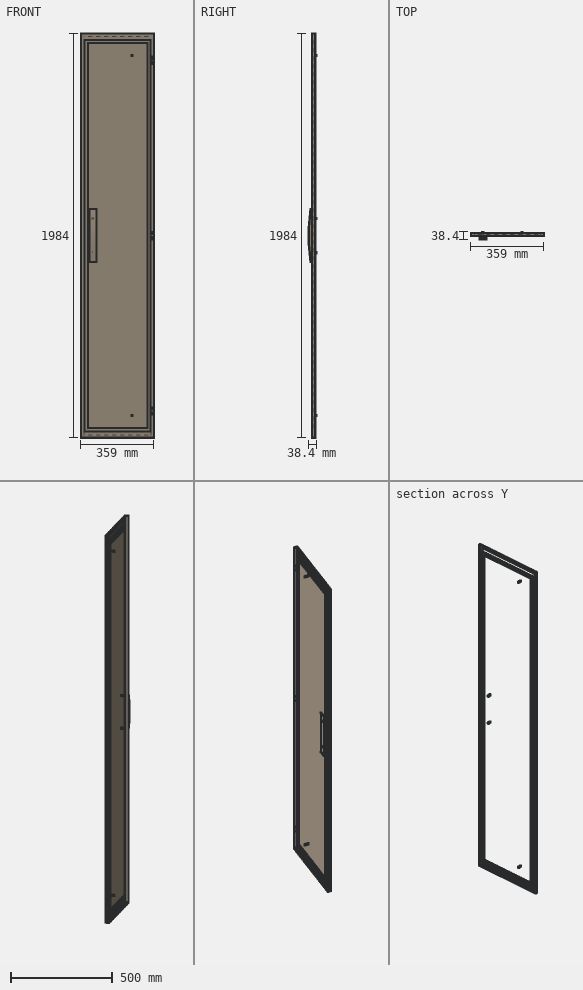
import cadquery as cq

door_width = 359.0
door_height = 1984.0
door_depth = 16.25
sheet = 1.25
lip_width = 15.0

frame_side_inset = 17.5
frame_end_inset = 32.0
frame_width = 16.0
frame_height = 8.0

stud_diameter = 6.0
stud_end_y = 21.5
earth_stud_x = 71.0
earth_stud_z = 883.0

hinge_hole_diameter = 11.0
hinge_hole_x = door_width / 2 - 9.5
hinge_hole_spacing = 25.0
hinge_pair_z = 860.0

handle_width = 34.0
handle_height = 260.0
handle_end_depth = 7.5
handle_mid_depth = 16.9
handle_x = 58.0 - door_width / 2
handle_stud_z = 84.0
handle_hole_diameter = 7.0


def block(width, height, y_near, y_far):
    """A box centred on x = 0 and z = 0, between two y planes."""
    depth = y_far - y_near
    return cq.Workplane("XY").box(width, depth, height).translate((0, y_near + depth / 2, 0))


def cylinder(diameter, x, z, y_near, y_far):
    """A round bar along Y, between two y planes."""
    return cq.Workplane("XZ", origin=(x, y_far, z)).circle(diameter / 2).extrude(y_far - y_near)


def make_pan():
    """Front sheet with four side walls, each turned inwards as a lip at the back."""
    outside = block(door_width, door_height, 0, door_depth)
    inside = block(door_width - 2 * sheet, door_height - 2 * sheet, sheet, door_depth - sheet)
    opening = block(door_width - 2 * lip_width, door_height - 2 * lip_width, sheet, door_depth)
    return outside.cut(inside).cut(opening)


def make_frame():
    """Rectangular ring standing on the inner face of the front sheet."""
    width = door_width - 2 * frame_side_inset
    height = door_height - 2 * frame_end_inset
    top_y = sheet + frame_height
    ring = block(width, height, sheet, top_y)
    return ring.cut(block(width - 2 * frame_width, height - 2 * frame_width, sheet, top_y))


def make_door():
    door = make_pan().union(make_frame())

    for z in (-earth_stud_z, earth_stud_z):
        door = door.union(cylinder(stud_diameter, earth_stud_x, z, sheet, stud_end_y))

    for z in (-handle_stud_z, handle_stud_z):
        door = door.cut(cylinder(handle_hole_diameter, handle_x, z, 0, sheet))

    for pair_z in (-hinge_pair_z, 0, hinge_pair_z):
        for offset in (-hinge_hole_spacing / 2, hinge_hole_spacing / 2):
            door = door.cut(cylinder(hinge_hole_diameter, hinge_hole_x, pair_z + offset, 0, sheet))
    return door


def make_handle():
    """Grip with an arched front, and two studs that pass through the door."""
    end_z = handle_height / 2
    handle = (
        cq.Workplane("YZ", origin=(handle_x - handle_width / 2, 0, 0))
        .moveTo(0, -end_z)
        .lineTo(-handle_end_depth, -end_z)
        .threePointArc((-handle_mid_depth, 0), (-handle_end_depth, end_z))
        .lineTo(0, end_z)
        .close()
        .extrude(handle_width)
    )
    for z in (-handle_stud_z, handle_stud_z):
        handle = handle.union(cylinder(stud_diameter, handle_x, z, 0, stud_end_y))
    return handle


door = make_door()
handle = make_handle()
result = cq.Compound.makeCompound([door.solids().val(), handle.solids().val()])